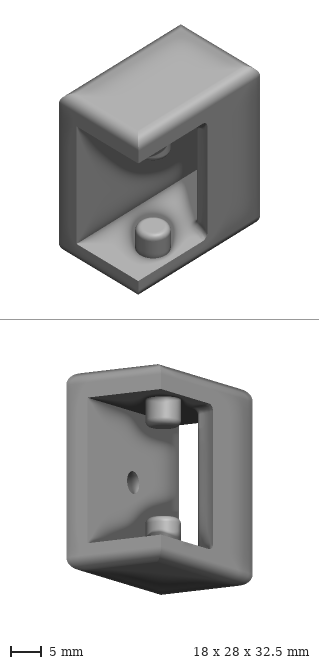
import cadquery as cq
import math

width = 18.0
depth = 28.0
height = 32.5
outer_round = 2.0

back_wall = 4.0
floor_thickness = 4.0
roof_thickness = 4.55
cavity_top = height - roof_thickness
cavity_height = cavity_top - floor_thickness

pin_diameter = 5.75
pin_length = 4.5
pin_round = 1.0
pin_x = 13.45
pin_y = 8.0

stop_thickness = 4.0
stop_x = width - stop_thickness
swing_radius = 9.1
stop_round = 1.0

hole_diameter = 3.7


def make_shell():
    block = cq.Workplane("XY").box(width, depth, height, centered=False)
    block = block.faces("<Z or >Z").edges().fillet(outer_round)
    cavity = (
        cq.Workplane("XY")
        .box(width - back_wall, depth, cavity_height, centered=False)
        .translate((back_wall, 0, floor_thickness))
    )
    return block.cut(cavity)


def swing_arc_y(x):
    """Y of the arc around the pin axis at the given X."""
    return pin_y + math.sqrt(swing_radius**2 - (x - pin_x) ** 2)


def add_stop_wall(body):
    inner_corner = (stop_x, swing_arc_y(stop_x))
    outer_corner = (width, swing_arc_y(width))
    middle_x = (stop_x + width) / 2
    wall = (
        cq.Workplane("XY", origin=(0, 0, floor_thickness))
        .moveTo(*inner_corner)
        .threePointArc((middle_x, swing_arc_y(middle_x)), outer_corner)
        .lineTo(width, depth)
        .lineTo(stop_x, depth)
        .close()
        .extrude(cavity_height)
    )
    inner_edge = cq.selectors.NearestToPointSelector((*inner_corner, height / 2))
    wall = wall.edges(inner_edge).fillet(stop_round)
    body = body.union(wall)

    margin = 0.03
    for level in (floor_thickness, cavity_top):
        joint = cq.selectors.BoxSelector(
            (stop_x - margin, swing_arc_y(width) - margin, level - margin),
            (width - margin, depth - margin, level + margin),
        )
        body = body.edges(joint).fillet(stop_round)
    return body


def make_pin(base_z, direction):
    pin = (
        cq.Workplane("XY", origin=(pin_x, pin_y, base_z))
        .circle(pin_diameter / 2)
        .extrude(direction * pin_length)
    )
    tip = ">Z" if direction > 0 else "<Z"
    return pin.faces(tip).edges().fillet(pin_round)


def make_screw_hole():
    return (
        cq.Workplane("YZ")
        .center(depth / 2, height / 2)
        .circle(hole_diameter / 2)
        .extrude(back_wall)
    )


result = (
    add_stop_wall(make_shell())
    .union(make_pin(floor_thickness, 1))
    .union(make_pin(cavity_top, -1))
    .cut(make_screw_hole())
)